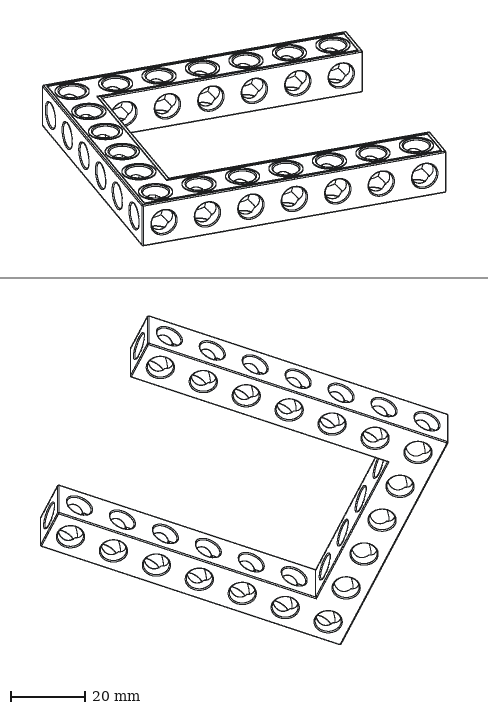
import cadquery as cq

length = 87.5
columns = 6
rows = 7
hole_diameter = 7.0
edge_chamfer = 0.3
collar_diameter = 9.2
rim_width = 1.05
recess_depth = 0.2

pitch = length / rows
width = columns * pitch
height = pitch
mid_height = height / 2


def cell_centre(index):
    return (index + 0.5) * pitch


column_centres = [cell_centre(i) for i in range(columns)]
row_centres = [cell_centre(j) for j in range(rows)]
arm_columns = (column_centres[0], column_centres[-1])
base_row = row_centres[0]
cells = [(x, base_row) for x in column_centres]
cells += [(x, y) for x in arm_columns for y in row_centres[1:]]


def u_outline(inset):
    """U-shaped outline on the XY plane, moved inwards by the inset on every side."""
    inner = pitch - inset
    points = [
        (inset, inset),
        (width - inset, inset),
        (width - inset, length - inset),
        (width - inner, length - inset),
        (width - inner, inner),
        (inner, inner),
        (inner, length - inset),
        (inset, length - inset),
    ]
    return cq.Workplane("XY").polyline(points).close()


def frame():
    """Solid U with every edge chamfered except the two vertical inside corners."""
    body = u_outline(0).extrude(height)
    inside_corners = cq.selectors.BoxSelector(
        (pitch / 2, pitch / 2, height / 4),
        (width - pitch / 2, 3 * pitch / 2, 3 * height / 4),
    )
    return body.edges(-inside_corners).chamfer(edge_chamfer)


def top_recess():
    """Shallow field in the top face, inside the rim, leaving a full-height collar around every hole."""
    field = u_outline(rim_width).extrude(recess_depth)
    collars = cq.Workplane("XY").pushPoints(cells).circle(collar_diameter / 2).extrude(recess_depth)
    return field.cut(collars).translate((0, 0, height - recess_depth))


def flared_hole(start, direction, span):
    """Round hole tool with a chamfer at both ends, running from start along direction."""
    plane = cq.Plane(origin=start, normal=direction)
    radius = hole_diameter / 2
    mouth = radius + edge_chamfer
    tool = cq.Workplane(plane).circle(radius).extrude(span)
    axis = cq.Vector(*direction)
    near = cq.Vector(*start)
    far = near + axis * span
    for end, inward in ((near, axis), (far, axis * -1)):
        tool = tool.union(cq.Solid.makeCone(mouth, radius, edge_chamfer, end, inward))
    return tool


def hole_tools():
    """Upright holes through every cell, and level holes through every side wall."""
    along_x, along_y, along_z = (1, 0, 0), (0, 1, 0), (0, 0, 1)
    tools = [flared_hole((x, y, 0), along_z, height) for x, y in cells]

    tools.append(flared_hole((0, base_row, mid_height), along_x, width))
    tools += [flared_hole((x, 0, mid_height), along_y, length) for x in arm_columns]

    tools += [flared_hole((x, 0, mid_height), along_y, pitch) for x in column_centres[1:-1]]
    for y in row_centres[1:]:
        tools += [flared_hole((x, y, mid_height), along_x, pitch) for x in (0, width - pitch)]
    return tools


result = frame().cut(top_recess())
for tool in hole_tools():
    result = result.cut(tool)